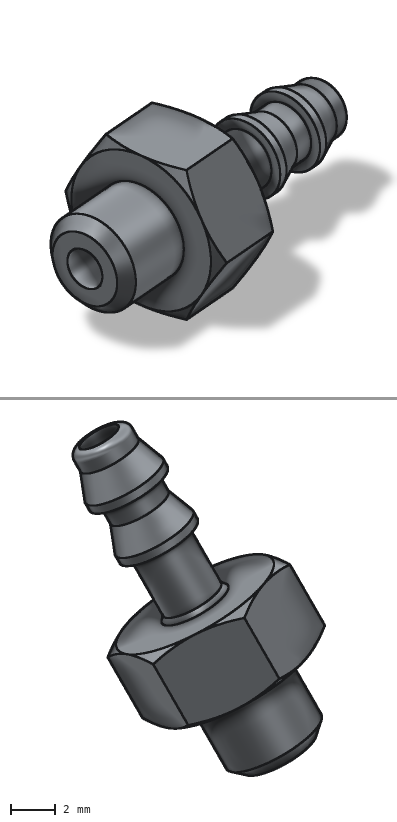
import cadquery as cq
import math

total_length = 17.0
bore_diameter = 2.0

stub_radius = 2.45
stub_length = 4.0
stub_chamfer = 0.6

hex_across_flats = 8.0
hex_length = 4.0
hex_chamfer_angle = 30.0

tail_radius = 1.5
root_flare = 0.2
root_length = 0.27
barb_radius = 2.0
barb_land = 0.45
barb_cone_length = 1.38
barb_starts = (11.39, 14.21)
tip_rounding = 0.39

hex_start = stub_length
hex_end = hex_start + hex_length
hex_corner_radius = hex_across_flats / 2 / math.cos(math.pi / 6)


def cylinder(radius, start, end):
    """Cylinder around the Y axis between two Y positions."""
    return cq.Workplane("XZ", origin=(0, start, 0)).circle(radius).extrude(start - end)


def revolve_profile(points):
    """Revolve a closed (radius, Y) outline around the Y axis."""
    return cq.Workplane("XY").polyline(points).close().revolve(360, (0, 0), (0, 1))


def make_stub():
    return cylinder(stub_radius, 0, hex_start).faces("<Y").chamfer(stub_chamfer)


def make_hex():
    """Hexagon with corners on the X axis, its corners turned off conically at both ends."""
    prism = (
        cq.Workplane("XZ", origin=(0, hex_start, 0))
        .polygon(6, 2 * hex_corner_radius)
        .extrude(-hex_length)
    )
    flat_radius = hex_across_flats / 2
    corner_drop = (hex_corner_radius - flat_radius) * math.tan(math.radians(hex_chamfer_angle))
    envelope = revolve_profile([
        (0, hex_start),
        (flat_radius, hex_start),
        (hex_corner_radius, hex_start + corner_drop),
        (hex_corner_radius, hex_end - corner_drop),
        (flat_radius, hex_end),
        (0, hex_end),
    ])
    return prism.intersect(envelope)


def make_barb(start):
    """Short cylindrical land followed by a cone tapering to the tail."""
    land_end = start + barb_land
    cone_end = land_end + barb_cone_length
    return revolve_profile([
        (0, start),
        (barb_radius, start),
        (barb_radius, land_end),
        (tail_radius, cone_end),
        (0, cone_end),
    ])


def make_tail():
    tail = cylinder(tail_radius, hex_end, total_length).faces(">Y").edges().fillet(tip_rounding)
    root = revolve_profile([
        (0, hex_end),
        (tail_radius + root_flare, hex_end),
        (tail_radius, hex_end + root_length),
        (0, hex_end + root_length),
    ])
    tail = tail.union(root)
    for start in barb_starts:
        tail = tail.union(make_barb(start))
    return tail


bore = cylinder(bore_diameter / 2, 0, total_length)
result = make_stub().union(make_hex()).union(make_tail()).cut(bore)